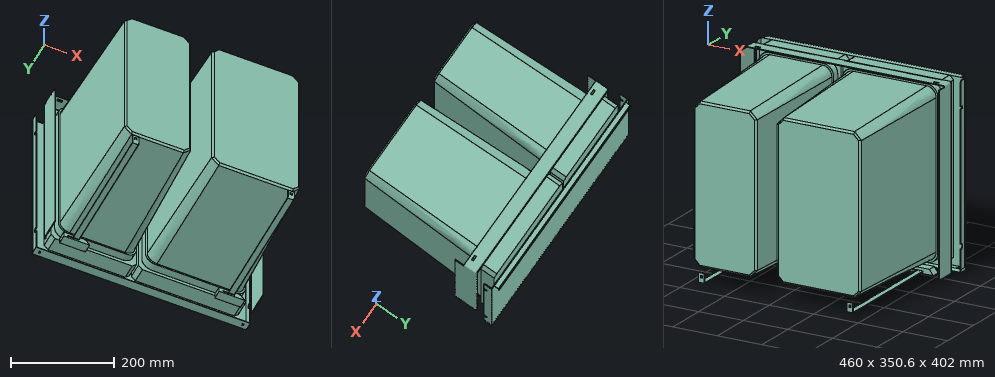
import cadquery as cq
SHEET = 2.0

PANEL_WIDTH = 460.0
PANEL_BACK = 163.8
PANEL_BOTTOM = -201.0
PANEL_TOP = 195.5
FLANGE_END = 144.5
FLANGE_CHAMFER = 4.5
FOOT_HEIGHT = 5.5
FOOT_SLOPE_LENGTH = 5.0
FOOT_SLOPE_DROP = 4.5
FOOT_SLOT_X = 218.0
FOOT_SLOT_WIDTH = 2.8
FOOT_SLOT_LENGTH = 3.5
FOOT_SLOT_Y = 154.0
NOTCH_DEPTH = 7.5
UPPER_NOTCH_Z = 139.5
UPPER_NOTCH_WIDTH = 5.5
LOWER_NOTCH_Z = -147.0
LOWER_NOTCH_WIDTH = 11.0
LIP_WIDTH = 443.5
LIP_TOP = 197.5
LIP_BACK = 175.3
HOOK_DROP = 11.5
LIP_BEND = 3.0

FRAME_WIDTH = 448.0
FRAME_TOP = 201.0
FRAME_BOTTOM = -195.5
FRAME_BACK = 122.5
FRAME_BEND = 3.5
BRIDGE_DEPTH = 30.5
SIDE_DEPTH = 50.5
BRIDGE_SLOT_X = 200.0
BRIDGE_SLOT_Y = 100.5
BRIDGE_SLOT_LENGTH = 10.0
BRIDGE_SLOT_WIDTH = 3.5

SMALL_BIN_WIDTH = 183.0
LARGE_BIN_WIDTH = 229.5
BINS_HALF_SPAN = 208.5
RIM_TOP = 199.0
RIM_HEIGHT = 383.0
RIM_CORNER = 8.7
RIM_FRONT = 154.0
RIM_END = FRAME_BACK
COLLAR_INSET = 8.0
COLLAR_CORNER = 22.0
COLLAR_END = 106.0
BODY_INSET = 11.5
BODY_CORNER = 20.5
BODY_END_INSET = 20.2
BODY_END_CORNER = 15.5
BIN_BOTTOM = -171.0
BEVEL_DEPTH = 3.5
BEVEL_INSET = 4.5

RAIL_X = 166.5
RAIL_WIDTH = 13.0
RAIL_UNDERSIDE = -194.5
RAIL_END = -175.3
RAIL_BEND = 3.0
TAB_THICKNESS = 3.5
TAB_TOP = -173.0
TAB_HOLE_SIZE = 4.5
TAB_HOLE_Z = -181.0
BRACKET_LEFT = 26.0
BRACKET_RIGHT = 29.5
BRACKET_POINT = 9.0
BRACKET_FRONT = 97.5
BRACKET_BACK = 117.0
BRACKET_BOTTOM = -198.5
BRACKET_TOP = -186.8
BRACKET_SLOT_LENGTH = 11.0
BRACKET_SLOT_BOTTOM = -194.5
BRACKET_SLOT_HEIGHT = 2.0


def block(x0, x1, y0, y1, z0, z1):
    """Box between two opposite corners."""
    return cq.Workplane("XY").box(x1 - x0, y1 - y0, z1 - z0, centered=False).translate((x0, y0, z0))


def make_panel():
    half = PANEL_WIDTH / 2
    lip_half = LIP_WIDTH / 2
    inner = PANEL_BACK - SHEET
    panel = block(-half, half, inner, PANEL_BACK, PANEL_BOTTOM, PANEL_TOP)

    foot = (
        cq.Workplane("YZ")
        .moveTo(inner, PANEL_BOTTOM)
        .lineTo(inner, PANEL_BOTTOM + FOOT_HEIGHT)
        .lineTo(FLANGE_END + FOOT_SLOPE_LENGTH, PANEL_BOTTOM + FOOT_HEIGHT)
        .lineTo(FLANGE_END, PANEL_BOTTOM + FOOT_HEIGHT - FOOT_SLOPE_DROP)
        .lineTo(FLANGE_END, PANEL_BOTTOM)
        .close()
        .extrude(half - SHEET, both=True)
    )
    panel = panel.union(foot)

    flange = block(-half, -half + SHEET, FLANGE_END, PANEL_BACK, PANEL_BOTTOM, PANEL_TOP)
    flange = flange.edges("|X and <Y and >Z").chamfer(FLANGE_CHAMFER)
    panel = panel.union(flange).union(flange.mirror("YZ"))

    for x in (-FOOT_SLOT_X, FOOT_SLOT_X):
        slot = cq.Workplane("XY").box(FOOT_SLOT_WIDTH, FOOT_SLOT_LENGTH, FOOT_HEIGHT)
        panel = panel.cut(slot.translate((x, FOOT_SLOT_Y, PANEL_BOTTOM + FOOT_HEIGHT / 2)))

    for z, width in ((UPPER_NOTCH_Z, UPPER_NOTCH_WIDTH), (LOWER_NOTCH_Z, LOWER_NOTCH_WIDTH)):
        notch = (
            cq.Workplane("YZ", origin=(0, FLANGE_END, z))
            .slot2D(2 * NOTCH_DEPTH, width)
            .extrude(half, both=True)
        )
        panel = panel.cut(notch)

    lip = block(-lip_half, lip_half, inner, LIP_BACK, LIP_TOP - HOOK_DROP, LIP_TOP)
    lip = lip.edges("|X and >Z and <Y").fillet(LIP_BEND)
    hollow = block(
        -lip_half, lip_half, inner + SHEET, LIP_BACK - SHEET, LIP_TOP - HOOK_DROP, LIP_TOP - SHEET
    )
    hollow = hollow.edges("|X and >Z and <Y").fillet(LIP_BEND - SHEET)
    return panel.cut(lip).union(lip.cut(hollow))


def make_frame():
    half = FRAME_WIDTH / 2
    front = FRAME_BACK - SIDE_DEPTH
    side_top = FRAME_TOP - FRAME_BEND
    folded_edges = "(|Z and >Y) or (>Y and >Z) or (|Y and >Z)"
    outer = block(-half, half, front, FRAME_BACK, FRAME_BOTTOM, FRAME_TOP)
    outer = outer.edges(folded_edges).fillet(FRAME_BEND)
    inside = block(-half + SHEET, half - SHEET, front, FRAME_BACK - SHEET, FRAME_BOTTOM, FRAME_TOP - SHEET)
    inside = inside.edges(folded_edges).fillet(FRAME_BEND - SHEET)
    frame = outer.cut(inside)

    opening_half = half - FRAME_BEND
    frame = frame.cut(block(-opening_half, opening_half, front, FRAME_BACK, FRAME_BOTTOM, side_top))

    frame = frame.cut(block(-half, half, front, FRAME_BACK - BRIDGE_DEPTH, side_top, FRAME_TOP))
    for x in (-BRIDGE_SLOT_X, BRIDGE_SLOT_X):
        slot = cq.Workplane("XY").box(BRIDGE_SLOT_LENGTH, BRIDGE_SLOT_WIDTH, SHEET)
        frame = frame.cut(slot.translate((x, BRIDGE_SLOT_Y, FRAME_TOP - SHEET / 2)))
    return frame


def make_bin(x_centre, rim_width):
    """Bin with its axis along Y; every section is an inset of the rim outline."""

    def outline(inset):
        return cq.Sketch().rect(rim_width - 2 * inset, RIM_HEIGHT - 2 * inset).vertices()

    def at_depth(sketch, y):
        return sketch.moved(cq.Location((0, 0, RIM_FRONT - y)))

    rim_section = outline(0).chamfer(RIM_CORNER)
    collar_section = at_depth(outline(COLLAR_INSET).fillet(COLLAR_CORNER), RIM_END)
    body_start = at_depth(outline(BODY_INSET).fillet(BODY_CORNER), COLLAR_END)
    body_end = at_depth(outline(BODY_END_INSET).chamfer(BODY_END_CORNER), BIN_BOTTOM + BEVEL_DEPTH)
    bottom = at_depth(
        outline(BODY_END_INSET + BEVEL_INSET).chamfer(BODY_END_CORNER - BEVEL_INSET), BIN_BOTTOM
    )

    plane = cq.Workplane("XZ", origin=(x_centre, RIM_FRONT, RIM_TOP - RIM_HEIGHT / 2))
    rim = plane.placeSketch(rim_section).extrude(RIM_FRONT - RIM_END)
    collar = plane.placeSketch(collar_section).extrude(RIM_END - COLLAR_END)
    body = plane.placeSketch(body_start, body_end).loft(ruled=True)
    bevel = plane.placeSketch(body_end, bottom).loft(ruled=True)
    return rim.union(collar).union(body).union(bevel)


def make_rail(x_centre):
    """Flat strip along Y with its front end bent upward into a tab."""
    half = RAIL_WIDTH / 2
    tab_end = RAIL_END + TAB_THICKNESS
    strip = block(-half, half, RAIL_END, BRACKET_FRONT, RAIL_UNDERSIDE, RAIL_UNDERSIDE + SHEET)
    tab = block(-half, half, RAIL_END, tab_end, RAIL_UNDERSIDE, TAB_TOP)
    rail = strip.union(tab).edges("|X and <Y and <Z").fillet(RAIL_BEND)
    hole = cq.Workplane("XY").box(TAB_HOLE_SIZE, TAB_THICKNESS, TAB_HOLE_SIZE)
    return rail.cut(hole.translate((0, RAIL_END + TAB_THICKNESS / 2, TAB_HOLE_Z))).translate((x_centre, 0, 0))


def make_bracket(x_centre):
    """Block with a slanted right end and a slot beside the rail."""
    bracket = (
        cq.Workplane("XZ", origin=(x_centre, BRACKET_BACK, 0))
        .moveTo(-BRACKET_LEFT, BRACKET_BOTTOM)
        .lineTo(BRACKET_RIGHT, BRACKET_BOTTOM)
        .lineTo(BRACKET_RIGHT - BRACKET_POINT, BRACKET_TOP)
        .lineTo(-BRACKET_LEFT, BRACKET_TOP)
        .close()
        .extrude(BRACKET_BACK - BRACKET_FRONT)
    )
    slot_right = x_centre - RAIL_WIDTH / 2
    slot = block(
        slot_right - BRACKET_SLOT_LENGTH,
        slot_right,
        BRACKET_FRONT,
        BRACKET_BACK,
        BRACKET_SLOT_BOTTOM,
        BRACKET_SLOT_BOTTOM + BRACKET_SLOT_HEIGHT,
    )
    return bracket.cut(slot)


panel = make_panel()
frame = make_frame()
small_bin = make_bin(SMALL_BIN_WIDTH / 2 - BINS_HALF_SPAN, SMALL_BIN_WIDTH)
large_bin = make_bin(BINS_HALF_SPAN - LARGE_BIN_WIDTH / 2, LARGE_BIN_WIDTH)

rails = []
brackets = []
for x in (-RAIL_X, RAIL_X):
    rails.append(make_rail(x).val())
    brackets.append(make_bracket(x).val())

result = cq.Compound.makeCompound(
    [panel.val(), frame.val(), small_bin.val(), large_bin.val(), *rails, *brackets]
)